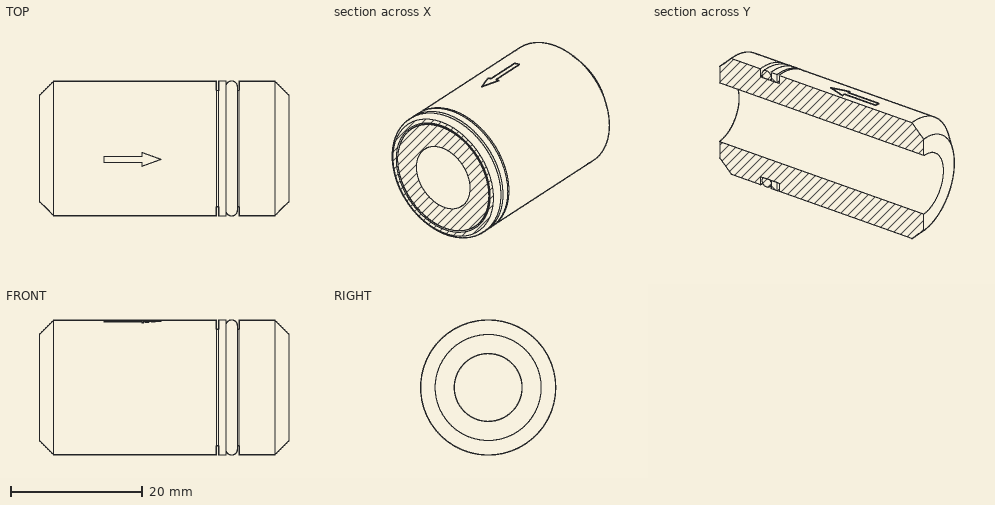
import cadquery as cq

sleeve_length = 38.1
sleeve_diameter = 20.574
bore_diameter = 10.31
end_chamfer = 2.2

groove_start = 27.0
groove_end = 30.45
groove_diameter = 17.78
groove_cut_clearance = 1.0

backup_start = 27.33
backup_width = 1.17
backup_diameter = 20.62
backup_end = backup_start + backup_width

oring_section = 1.78
oring_diameter = 20.65
oring_center_x = 29.33
oring_center_radius = (oring_diameter - oring_section) / 2

arrow_tail_x = 9.85
arrow_head_x = 15.65
arrow_tip_x = 18.55
arrow_center_y = -1.65
arrow_shaft_width = 0.94
arrow_head_width = 2.1
arrow_depth = 0.1


def tube(start, end, outer_diameter, inner_diameter):
    """Hollow cylinder along X between two stations."""
    return (
        cq.Workplane("YZ", origin=(start, 0, 0))
        .circle(outer_diameter / 2)
        .circle(inner_diameter / 2)
        .extrude(end - start)
    )


def make_arrow_engraving():
    """Arrow-shaped skin of even depth under the outer surface of the sleeve."""
    half_shaft = arrow_shaft_width / 2
    half_head = arrow_head_width / 2
    arrow_prism = (
        cq.Workplane("XY", origin=(0, arrow_center_y, 0))
        .moveTo(arrow_tail_x, -half_shaft)
        .lineTo(arrow_head_x, -half_shaft)
        .lineTo(arrow_head_x, -half_head)
        .lineTo(arrow_tip_x, 0)
        .lineTo(arrow_head_x, half_head)
        .lineTo(arrow_head_x, half_shaft)
        .lineTo(arrow_tail_x, half_shaft)
        .close()
        .extrude(sleeve_diameter)
    )
    engraving_floor = cq.Workplane("YZ").circle(sleeve_diameter / 2 - arrow_depth).extrude(sleeve_length)
    return arrow_prism.cut(engraving_floor)


def make_sleeve():
    """Cylinder with chamfered ends, a through bore, the seal groove and the arrow."""
    blank = cq.Workplane("YZ").circle(sleeve_diameter / 2).extrude(sleeve_length)
    blank = blank.faces("<X or >X").chamfer(end_chamfer)
    bore = cq.Workplane("YZ").circle(bore_diameter / 2).extrude(sleeve_length)
    groove_cut_diameter = sleeve_diameter + 2 * groove_cut_clearance
    groove = tube(groove_start, groove_end, groove_cut_diameter, groove_diameter)
    return blank.cut(bore).cut(groove).cut(make_arrow_engraving())


def make_backup_ring():
    """Ring at the -X side of the groove, with a hollow +X side that cradles the O-ring."""
    return tube(backup_start, backup_end, backup_diameter, groove_diameter).cut(make_oring())


def make_oring():
    """Round-section ring, cut flat on the inside by the groove floor."""
    torus = (
        cq.Workplane("XY")
        .center(oring_center_x, oring_center_radius)
        .circle(oring_section / 2)
        .revolve(360, (0, -oring_center_radius, 0), (1, -oring_center_radius, 0))
    )
    groove_core = cq.Workplane("YZ").circle(groove_diameter / 2).extrude(sleeve_length)
    return torus.cut(groove_core)


sleeve = make_sleeve()
backup_ring = make_backup_ring()
oring = make_oring()

result = cq.Compound.makeCompound([
    *sleeve.solids().vals(),
    *backup_ring.solids().vals(),
    *oring.solids().vals(),
])